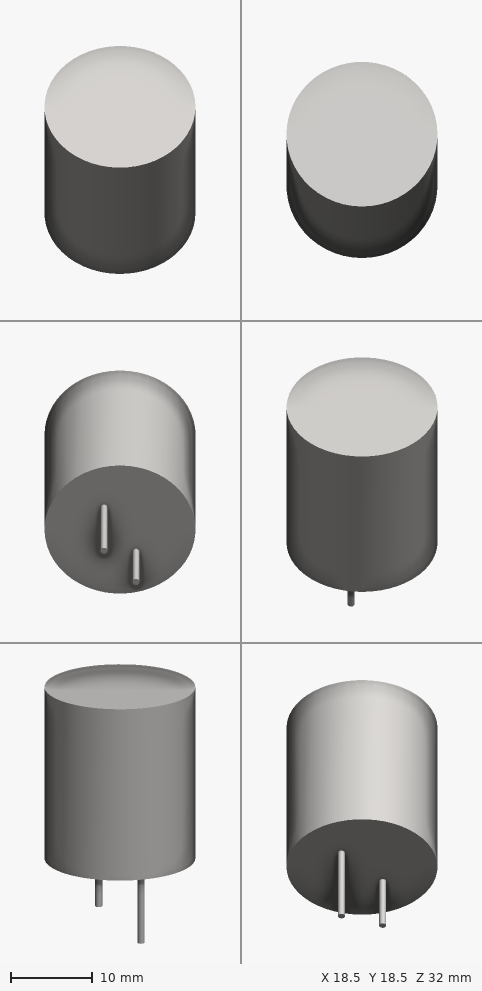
import cadquery as cq

total_height = 32.0
can_diameter = 18.5

lead_diameter = 0.85
lead_spacing = 7.5
long_lead_length = 10.0
short_lead_length = 7.0

can_height = total_height - long_lead_length


def make_can():
    """Plain cylindrical can standing on the plane Z = 0."""
    return cq.Workplane("XY").circle(can_diameter / 2).extrude(can_height)


def make_lead(x, length):
    """Straight round lead hanging down from the flat underside of the can."""
    return cq.Workplane("XY").center(x, 0).circle(lead_diameter / 2).extrude(-length)


can = make_can()

lead_layout = [
    (-lead_spacing / 2, long_lead_length),
    (lead_spacing / 2, short_lead_length),
]
leads = [make_lead(x, length) for x, length in lead_layout]

result = cq.Compound.makeCompound([can.val(), *[lead.val() for lead in leads]])